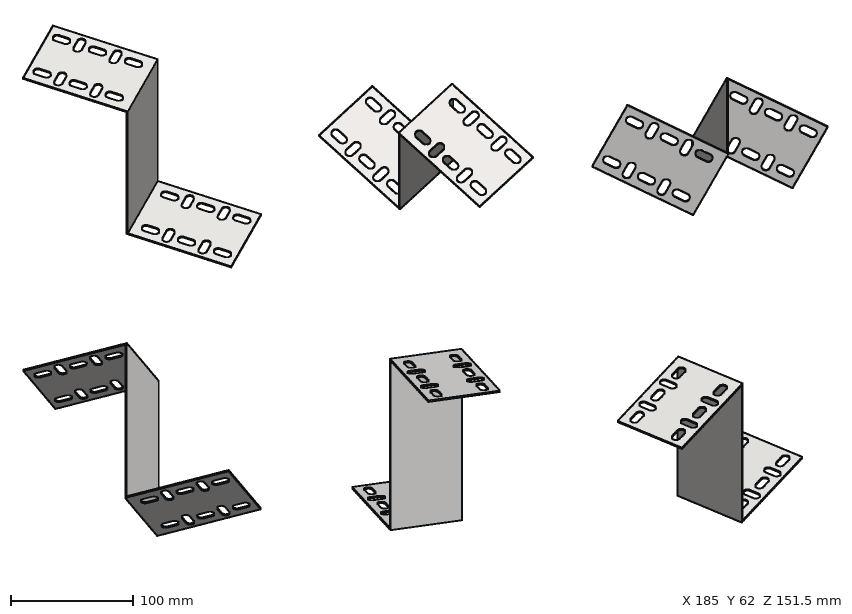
import cadquery as cq

length = 185.0
width = 62.0
height = 151.5
thickness = 1.5

slot_length = 15.0
slot_width = 7.0
pattern_span = 64.0
row_spacing = 40.0
slots_per_row = 5
slot_pitch = pattern_span / (slots_per_row - 1)
end_margin = 12.4

flange_length = (length + thickness) / 2
flange_offset = (length - flange_length) / 2
flange_level = (height - thickness) / 2
pattern_offset = length / 2 - end_margin - pattern_span / 2


def slot_cutters(center_x, center_z):
    """Two rows of slots, alternating along X and along Y, through one flange."""
    cutters = cq.Workplane("XY")
    for index in range(slots_per_row):
        x = center_x - pattern_span / 2 + index * slot_pitch
        angle = 90 * (index % 2)
        row_centers = [(x, -row_spacing / 2), (x, row_spacing / 2)]
        slots = (
            cq.Workplane("XY", origin=(0, 0, center_z))
            .pushPoints(row_centers)
            .slot2D(slot_length, slot_width, angle)
            .extrude(thickness, both=True)
        )
        cutters = cutters.add(slots)
    return cutters.combine()


def flange(side):
    """Slotted flange: side -1 is the upper left one, +1 the lower right one."""
    center_z = -side * flange_level
    plate = cq.Workplane("XY").box(flange_length, width, thickness)
    plate = plate.translate((side * flange_offset, 0, center_z))
    return plate.cut(slot_cutters(side * pattern_offset, center_z))


web = cq.Workplane("XY").box(thickness, width, height)
result = web.union(flange(-1)).union(flange(1))